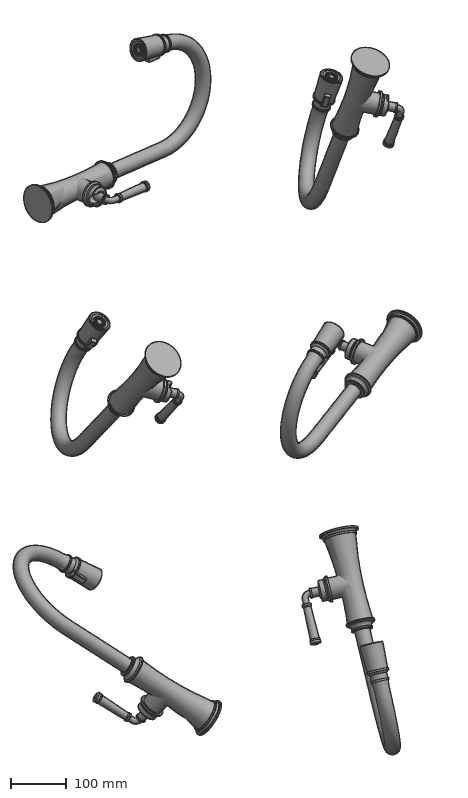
import cadquery as cq
import math

OVERALL_LENGTH = 439.5

FOOT_RADIUS = 35.5
FOOT_THICKNESS = 3.0
FOOT_SHOULDER_RADIUS = 31.5
BEAD_RADIUS = 30.8
BEAD_BOTTOM = 7.5
BEAD_TOP = 11.0
COLUMN_BOTTOM_RADIUS = 29.0
WAIST_RADIUS = 21.0
WAIST_HEIGHT = 98.5
COLUMN_TOP_RADIUS = 23.0
COLUMN_TOP = 159.5
COLLAR_UNDERSIDE_RADIUS = 23.7
COLLAR_RADIUS = 26.5
COLLAR_BOTTOM = 170.0
COLLAR_TOP = 172.5
COVE_BOTTOM_RADIUS = 23.7
COVE_BOTTOM = 174.5
COVE_RADIUS = 8.0
NECK_RADIUS = 18.0
NECK_RING_RADIUS = 19.5
NECK_RING_BOTTOM = 182.0
NECK_RING_TOP = 185.0

TUBE_RADIUS = 14.0
BEND_RADIUS = 104.0
HEAD_TILT = 8.0
SLEEVE_RADIUS = 15.0
SLEEVE_TOP = 186.5
BEND_START = OVERALL_LENGTH - TUBE_RADIUS - BEND_RADIUS

HEAD_LENGTH = 79.0
HEAD_END_RADIUS = 21.0
HEAD_EDGE_CHAMFER = 1.5
HEAD_BACK_RADIUS = 19.0
HEAD_RING_RADIUS = 20.2
HEAD_RING_BACK = 27.0
HEAD_RING_FRONT = 30.5
HEAD_NECK_RADIUS = 15.5
HEAD_NECK_FRONT = 23.0
CUFF_RADIUS = 16.5
CUFF_BACK = 9.2
CUFF_FRONT = 12.7
DISH_RADIUS = 16.3
DISH_DEPTH = 1.0
NOZZLE_RADII = (12.0, 10.0, 7.0)
NOZZLE_GROOVE_WIDTH = 1.5
NOZZLE_GROOVE_DEPTH = 2.0

BUTTON_FRONT = 281.8
BUTTON_BACK = 311.0
BUTTON_BACK_SLOPE = 4.5
BUTTON_BOTTOM = 187.0
BUTTON_TOP = 198.0
BUTTON_WIDTH = 10.5
BUTTON_EDGE_CHAMFER = 1.0

VALVE_HEIGHT = WAIST_HEIGHT
BOSS_RADIUS = 20.0
JUNCTION_FILLET = 1.8
BOSS_RING_RADIUS = 23.7
BOSS_RING_START = 39.5
BOSS_RING_FLAT_END = 43.0
BOSS_RING_SLOPE_END = 45.5
BOSS_RING_END = 48.5
BOSS_RING_SLOPE_RADIUS = 20.5
CAP_RADIUS = 19.5
CAP_EDGE = 57.0
CAP_SHOULDER_RADIUS = 17.0
CAP_END = 60.0
CAP_END_RADIUS = 11.5
STEM_RADIUS = 8.5
STEM_RING_START = 73.0
STEM_RING_END = 76.0
STEM_RING_RADIUS = 9.2
SLOT_END = 52.0

ELBOW_RADIUS = 5.5
ELBOW_BEND_RADIUS = 9.0
LEVER_X = 86.5
LEVER_RING_RADIUS = 8.5
LEVER_RING_START = 116.5
LEVER_RING_FLAT_END = 120.5
LEVER_RING_END = 122.5
GRIP_START_RADIUS = 7.0
GRIP_END_RADIUS = 8.5
GRIP_END = 182.5
KNOB_BASE_RADIUS = 9.2
KNOB_RADIUS = 9.5
KNOB_LIP_START = 185.5
KNOB_LIP_END = 190.0
KNOB_TIP = 191.5
KNOB_TIP_RADIUS = 5.3

BODY_PLANE = cq.Plane(origin=(0, 0, 0), xDir=(1, 0, 0), normal=(0, 0, 1))
VALVE_PLANE = cq.Plane(origin=(0, VALVE_HEIGHT, 0), xDir=(0, 1, 0), normal=(0, 0, -1))
LEVER_PLANE = cq.Plane(origin=(LEVER_X, 0, 0), xDir=(1, 0, 0), normal=(0, 0, 1))


def head_plane():
    """Turning plane of the spray head, starting at the end of the bend."""
    tilt = math.radians(HEAD_TILT)
    origin_y = BEND_START + BEND_RADIUS * math.sin(tilt)
    origin_z = BEND_RADIUS * (1 + math.cos(tilt))
    normal = (0, -math.sin(tilt), -math.cos(tilt))
    return cq.Plane(origin=(0, origin_y, origin_z), xDir=(1, 0, 0), normal=normal)


def turn(outline):
    """Revolve a closed outline a full turn about the local y axis of its plane."""
    return outline.close().revolve(360, (0, 0), (0, 1))


def turn_steps(plane, steps):
    """Turn a solid from (radius, distance) corners; both ends close on the axis."""
    start = (0, steps[0][1])
    end = (0, steps[-1][1])
    return turn(cq.Workplane(plane).polyline([start, *steps, end]))


def make_body():
    outline = (
        cq.Workplane(BODY_PLANE)
        .lineTo(FOOT_RADIUS, 0)
        .lineTo(FOOT_RADIUS, FOOT_THICKNESS)
        .lineTo(FOOT_SHOULDER_RADIUS, FOOT_THICKNESS)
        .lineTo(COLUMN_BOTTOM_RADIUS, BEAD_BOTTOM)
        .lineTo(BEAD_RADIUS, BEAD_BOTTOM)
        .lineTo(BEAD_RADIUS, BEAD_TOP)
        .lineTo(COLUMN_BOTTOM_RADIUS, BEAD_TOP)
        .threePointArc((WAIST_RADIUS, WAIST_HEIGHT), (COLUMN_TOP_RADIUS, COLUMN_TOP))
        .lineTo(COLLAR_UNDERSIDE_RADIUS, COLLAR_BOTTOM)
        .lineTo(COLLAR_RADIUS, COLLAR_BOTTOM)
        .lineTo(COLLAR_RADIUS, COLLAR_TOP)
        .lineTo(COVE_BOTTOM_RADIUS, COVE_BOTTOM)
        .radiusArc((NECK_RADIUS, NECK_RING_BOTTOM), COVE_RADIUS)
        .lineTo(NECK_RING_RADIUS, NECK_RING_BOTTOM)
        .lineTo(NECK_RING_RADIUS, NECK_RING_TOP)
        .lineTo(SLEEVE_RADIUS, NECK_RING_TOP)
        .lineTo(SLEEVE_RADIUS, SLEEVE_TOP)
        .lineTo(0, SLEEVE_TOP)
    )
    return turn(outline)


def make_spout():
    straight = turn_steps(BODY_PLANE, [(TUBE_RADIUS, COLLAR_TOP), (TUBE_RADIUS, BEND_START)])
    bend = (
        cq.Workplane("XZ", origin=(0, BEND_START, 0))
        .circle(TUBE_RADIUS)
        .revolve(180 - HEAD_TILT, (0, BEND_RADIUS), (1, BEND_RADIUS))
    )
    return straight.union(bend)


def make_spray_head():
    plane = head_plane()
    head = turn_steps(plane, [
        (TUBE_RADIUS, 0),
        (HEAD_NECK_RADIUS, CUFF_BACK),
        (CUFF_RADIUS, CUFF_BACK),
        (CUFF_RADIUS, CUFF_FRONT),
        (HEAD_NECK_RADIUS, CUFF_FRONT),
        (HEAD_NECK_RADIUS, HEAD_NECK_FRONT),
        (HEAD_BACK_RADIUS, HEAD_RING_BACK),
        (HEAD_RING_RADIUS, HEAD_RING_BACK),
        (HEAD_RING_RADIUS, HEAD_RING_FRONT),
        (HEAD_BACK_RADIUS, HEAD_RING_FRONT),
        (HEAD_END_RADIUS, HEAD_LENGTH - HEAD_EDGE_CHAMFER),
        (HEAD_END_RADIUS - HEAD_EDGE_CHAMFER, HEAD_LENGTH),
    ])
    dish_floor = HEAD_LENGTH - DISH_DEPTH
    head = head.cut(turn_steps(plane, [(DISH_RADIUS, dish_floor), (DISH_RADIUS, HEAD_LENGTH)]))
    groove_floor = dish_floor - NOZZLE_GROOVE_DEPTH
    for radius in NOZZLE_RADII:
        inner = radius - NOZZLE_GROOVE_WIDTH
        outer_disc = turn_steps(plane, [(radius, groove_floor), (radius, HEAD_LENGTH)])
        inner_disc = turn_steps(plane, [(inner, groove_floor), (inner, HEAD_LENGTH)])
        head = head.cut(outer_disc.cut(inner_disc))
    return head


def make_button():
    button = (
        cq.Workplane("YZ")
        .moveTo(BUTTON_FRONT, BUTTON_BOTTOM)
        .lineTo(BUTTON_BACK - BUTTON_BACK_SLOPE, BUTTON_BOTTOM)
        .lineTo(BUTTON_BACK, BUTTON_BOTTOM + BUTTON_BACK_SLOPE)
        .lineTo(BUTTON_BACK, BUTTON_TOP)
        .lineTo(BUTTON_FRONT, BUTTON_TOP)
        .close()
        .extrude(BUTTON_WIDTH / 2, both=True)
    )
    return button.faces("<Z").edges().chamfer(BUTTON_EDGE_CHAMFER)


def make_valve():
    boss = turn_steps(VALVE_PLANE, [
        (BOSS_RADIUS, 0),
        (BOSS_RADIUS, BOSS_RING_START),
        (BOSS_RING_RADIUS, BOSS_RING_START),
        (BOSS_RING_RADIUS, BOSS_RING_FLAT_END),
        (BOSS_RING_SLOPE_RADIUS, BOSS_RING_SLOPE_END),
        (CAP_RADIUS, BOSS_RING_END),
        (CAP_RADIUS, CAP_EDGE),
        (CAP_SHOULDER_RADIUS, CAP_EDGE),
        (CAP_END_RADIUS, CAP_END),
    ])
    slot = (
        cq.Workplane("XZ", origin=(0, VALVE_HEIGHT, 0))
        .moveTo(STEM_RING_START, 0)
        .slot2D(2 * (STEM_RING_START - SLOT_END), 2 * STEM_RADIUS)
        .extrude(BOSS_RING_RADIUS)
    )
    stem = turn_steps(VALVE_PLANE, [
        (STEM_RADIUS, BOSS_RING_END),
        (STEM_RADIUS, STEM_RING_START),
        (STEM_RING_RADIUS, STEM_RING_START),
        (STEM_RING_RADIUS, STEM_RING_END),
    ])
    return boss.cut(slot).union(stem)


def make_lever():
    elbow_path = (
        cq.Workplane("XY")
        .moveTo(STEM_RING_START, VALVE_HEIGHT)
        .lineTo(LEVER_X - ELBOW_BEND_RADIUS, VALVE_HEIGHT)
        .radiusArc((LEVER_X, VALVE_HEIGHT + ELBOW_BEND_RADIUS), -ELBOW_BEND_RADIUS)
        .lineTo(LEVER_X, LEVER_RING_START)
    )
    elbow = (
        cq.Workplane("YZ", origin=(STEM_RING_START, VALVE_HEIGHT, 0))
        .circle(ELBOW_RADIUS)
        .sweep(elbow_path)
    )
    grip = turn_steps(LEVER_PLANE, [
        (LEVER_RING_RADIUS, LEVER_RING_START),
        (LEVER_RING_RADIUS, LEVER_RING_FLAT_END),
        (GRIP_START_RADIUS, LEVER_RING_END),
        (GRIP_END_RADIUS, GRIP_END),
        (KNOB_BASE_RADIUS, GRIP_END),
        (KNOB_BASE_RADIUS, KNOB_LIP_START),
        (KNOB_RADIUS, KNOB_LIP_START),
        (KNOB_RADIUS, KNOB_LIP_END),
        (KNOB_TIP_RADIUS, KNOB_TIP),
    ])
    return elbow.union(grip)


def join_valve(body, valve):
    """Join the valve to the body and blend the seam where the boss meets the column."""
    joined = body.union(valve)
    reach = cq.selectors.BoxSelector(
        (0, VALVE_HEIGHT - BOSS_RING_RADIUS, -BOSS_RING_RADIUS),
        (BOSS_RING_START - JUNCTION_FILLET, VALVE_HEIGHT + BOSS_RING_RADIUS, BOSS_RING_RADIUS),
    )
    return joined.edges(reach).fillet(JUNCTION_FILLET)


result = join_valve(make_body(), make_valve())
for piece in (make_spout(), make_spray_head(), make_button(), make_lever()):
    result = result.union(piece)